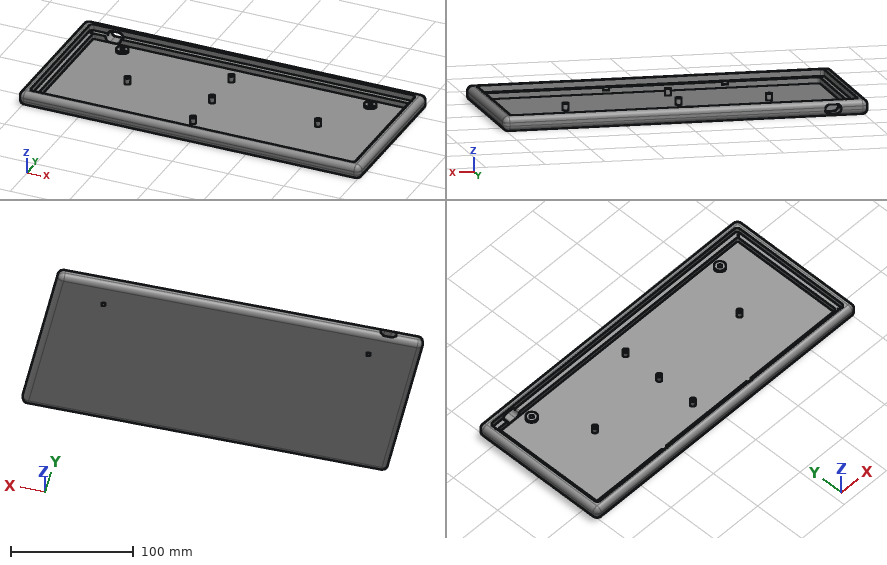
import cadquery as cq

LENGTH = 306.0
WIDTH = 134.5
HEIGHT = 12.5
EDGE_RADIUS = 5.0

RECESS_LENGTH = 291.3
RECESS_WIDTH = 121.2
RECESS_CORNER_RADIUS = 2.8
POCKET_LENGTH = 282.5
POCKET_WIDTH = 111.5
POCKET_CORNER_RADIUS = 1.5
FLOOR_Z = 2.0
LEDGE_Z = 7.0
CUT_MARGIN = 3.0

PILOT_DIAMETER = 1.5
PILOT_DEPTH = 3.0
PILOT_X = 143.2
PILOT_Y = 57.0

POST_DIAMETER = 5.0
POST_HOLE_DIAMETER = 2.0
POST_HEIGHT = 5.5
POST_COLUMN_X = -9.5
POST_SPACING_Y = 38.0
SIDE_POST_X = 85.5

BOSS_DIAMETER = 10.0
BOSS_HOLE_DIAMETER = 3.5
BOSS_HEIGHT = 2.0
BOSS_X = 111.0
BOSS_Y = 46.8

NOTCH_DIAMETER = 5.0
NOTCH_SETBACK = 0.3
NOTCH_DEPTH = 2.5
NOTCH_XS = (-61.8, 38.0)

PORT_X = -123.3
PORT_WIDTH = 13.5
PORT_HEIGHT = 7.5
PORT_BOTTOM_Z = 2.3
PORT_LIP_RADIUS = 1.5
LIP_SEARCH_MARGIN = 0.5


def rounded_cavity(length, width, corner_radius, bottom_z):
    """Rounded rectangular cutter from bottom_z to above the rim."""
    plane = cq.Workplane("XY").workplane(offset=bottom_z)
    cutter = plane.rect(length, width).extrude(HEIGHT + CUT_MARGIN - bottom_z)
    return cutter.edges("|Z").fillet(corner_radius)


def cylinders(points, diameter, bottom_z, height):
    """Upright cylinders standing at the given points."""
    plane = cq.Workplane("XY").workplane(offset=bottom_z)
    return plane.pushPoints(points).circle(diameter / 2).extrude(height)


def make_tray():
    """Fully rounded block hollowed by the recess and the pocket."""
    block = cq.Workplane("XY").box(LENGTH, WIDTH, HEIGHT, centered=(True, True, False))
    block = block.edges().fillet(EDGE_RADIUS)
    recess = rounded_cavity(RECESS_LENGTH, RECESS_WIDTH, RECESS_CORNER_RADIUS, LEDGE_Z)
    pocket = rounded_cavity(POCKET_LENGTH, POCKET_WIDTH, POCKET_CORNER_RADIUS, FLOOR_Z)
    return block.cut(recess).cut(pocket)


def drill_pilot_holes(tray):
    points = [(x, y) for x in (-PILOT_X, PILOT_X) for y in (-PILOT_Y, PILOT_Y)]
    return tray.cut(cylinders(points, PILOT_DIAMETER, LEDGE_Z - PILOT_DEPTH, PILOT_DEPTH))


def add_posts(tray):
    """Posts with screw holes that stop at the pocket floor."""
    points = [(POST_COLUMN_X, y) for y in (-POST_SPACING_Y, 0, POST_SPACING_Y)]
    points += [(-SIDE_POST_X, 0), (SIDE_POST_X, 0)]
    tray = tray.union(cylinders(points, POST_DIAMETER, FLOOR_Z, POST_HEIGHT))
    return tray.cut(cylinders(points, POST_HOLE_DIAMETER, FLOOR_Z, POST_HEIGHT))


def add_bosses(tray):
    """Bosses with holes that go through to the underside."""
    points = [(-BOSS_X, BOSS_Y), (BOSS_X, BOSS_Y)]
    tray = tray.union(cylinders(points, BOSS_DIAMETER, FLOOR_Z, BOSS_HEIGHT))
    return tray.cut(cylinders(points, BOSS_HOLE_DIAMETER, 0, FLOOR_Z + BOSS_HEIGHT))


def cut_notches(tray):
    notch_y = -POCKET_WIDTH / 2 - NOTCH_SETBACK
    points = [(x, notch_y) for x in NOTCH_XS]
    return tray.cut(cylinders(points, NOTCH_DIAMETER, LEDGE_Z - NOTCH_DEPTH, NOTCH_DEPTH))


def cut_port(tray):
    """Slot from the rear face to the pocket, then its rounded lip."""
    center_z = PORT_BOTTOM_Z + PORT_HEIGHT / 2
    depth = (WIDTH - POCKET_WIDTH) / 2
    slot = cq.Workplane("XZ", origin=(PORT_X, WIDTH / 2, center_z))
    slot = slot.slot2D(PORT_WIDTH, PORT_HEIGHT).extrude(depth)
    tray = tray.cut(slot)

    ledge_middle_y = (RECESS_WIDTH + POCKET_WIDTH) / 4
    lip_edges = cq.selectors.BoxSelector(
        (PORT_X - PORT_WIDTH, ledge_middle_y - LIP_SEARCH_MARGIN, LEDGE_Z - LIP_SEARCH_MARGIN),
        (PORT_X + PORT_WIDTH, ledge_middle_y + LIP_SEARCH_MARGIN, LEDGE_Z + LIP_SEARCH_MARGIN),
    )
    return tray.edges(lip_edges).fillet(PORT_LIP_RADIUS)


result = make_tray()
result = drill_pilot_holes(result)
result = add_posts(result)
result = add_bosses(result)
result = cut_notches(result)
result = cut_port(result)